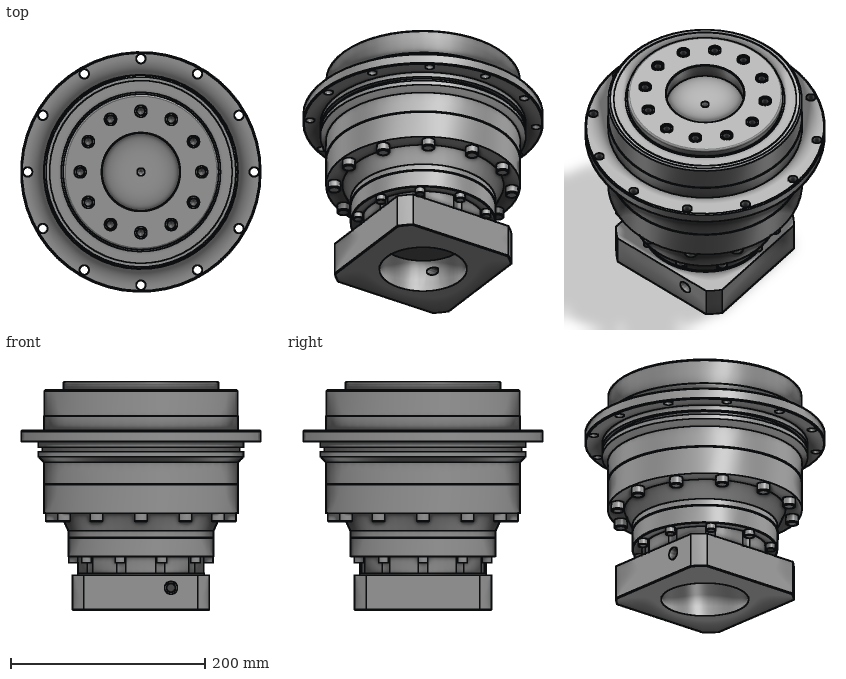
import cadquery as cq
import math


adapter_top = 36
neck_lip_top = 38
input_ring_bottom = 55
input_groove_level = 74.5
cone_bottom = 81.5
gear_ring_bottom = 99.7
gear_groove_level = 129.5
spigot_cone_bottom = 152
spigot_bottom = 158
seal_groove_bottom = 163
seal_groove_top = 167.5
flange_bottom = 173
flange_top = 185
cover_bottom = 200
housing_top = 227
output_top = 235

cover_radius = 99.7
body_radius = 100
flange_radius = 123.5
spigot_radius = 105.8
seal_groove_radius = 101.8
cone_top_radius = 83
input_radius = 74.8
neck_radius = 64.9
neck_lip_radius = 65.2
input_ring_chamfer = 0.7
joint_groove_depth = 0.5
joint_groove_width = 1.2
cover_joint_chamfer = 0.5
housing_chamfer = 2
flange_top_chamfer = 1.3
flange_bottom_chamfer = 1
cover_recess_radius = 94
cover_recess_depth = 0.5

bolt_count = 12
flange_hole_circle_radius = 116.5
flange_hole_diameter = 9.5

gear_screw_circle_radius = 91.5
gear_screw_diameter = 13
gear_screw_height = 8.8
gear_screw_chamfer = 1

input_screw_count = 10
input_screw_circle_radius = 69.3
input_screw_diameter = 10
input_screw_height = 6.5
input_screw_chamfer = 0.5
screw_clearance_radius = 6.7

output_radius = 80
output_collar_radius = 82
output_fillet = 1.9
output_seat_depth = 27
output_bore_radius = 40
output_bore_depth = 16
output_bore_chamfer = 0.7
output_hole_circle_radius = 62.5
output_hole_diameter = 8.5
output_hole_depth = 20
output_counterbore_diameter = 12.4
output_counterbore_depth = 1.2
drill_point_angle = 118
center_hole_diameter = 8
center_hole_angle = 60

adapter_width = 141
adapter_corner_radius = 91.7
adapter_chamfer = 0.8
adapter_bore_radius = 45
access_hole_x = 31
access_hole_z = 23
access_hole_diameter = 9
access_counterbore_diameter = 13.2
access_counterbore_depth = 15


def cylinder(radius, bottom, top):
    return cq.Workplane("XY").workplane(offset=bottom).circle(radius).extrude(top - bottom)


def ring_points(count, radius):
    """Points evenly spaced on a circle, the first one on +X."""
    step = 2 * math.pi / count
    return [(radius * math.cos(i * step), radius * math.sin(i * step)) for i in range(count)]


def screw_heads(points, diameter, top, height, chamfer):
    """Round heads hanging below the level `top`, chamfered at their free end."""
    heads = cq.Workplane("XY").workplane(offset=top).pushPoints(points).circle(diameter / 2)
    return heads.extrude(-height).faces("<Z").edges().chamfer(chamfer)


def joint_groove(radius, level):
    """Cutter for a shallow V-groove around a joint between two turned sections."""
    half_width = joint_groove_width / 2
    outline = [
        (radius, level - half_width),
        (radius, level + half_width),
        (radius - joint_groove_depth, level),
    ]
    return cq.Workplane("XZ").polyline(outline).close().revolve(360, (0, 0), (0, 1))


def turned_housing():
    outline = [
        (0, adapter_top),
        (neck_lip_radius, adapter_top),
        (neck_lip_radius, neck_lip_top),
        (neck_radius, neck_lip_top),
        (neck_radius, input_ring_bottom),
        (input_radius - input_ring_chamfer, input_ring_bottom),
        (input_radius, input_ring_bottom + input_ring_chamfer),
        (input_radius, cone_bottom),
        (cone_top_radius, gear_ring_bottom),
        (body_radius, gear_ring_bottom),
        (body_radius, spigot_cone_bottom),
        (spigot_radius, spigot_bottom),
        (spigot_radius, seal_groove_bottom),
        (seal_groove_radius, seal_groove_bottom),
        (seal_groove_radius, seal_groove_top),
        (spigot_radius, seal_groove_top),
        (spigot_radius, flange_bottom),
        (flange_radius - flange_bottom_chamfer, flange_bottom),
        (flange_radius, flange_bottom + flange_bottom_chamfer),
        (flange_radius, flange_top - flange_top_chamfer),
        (flange_radius - flange_top_chamfer, flange_top),
        (body_radius, flange_top),
        (body_radius, cover_bottom - cover_joint_chamfer),
        (body_radius - cover_joint_chamfer, cover_bottom),
        (cover_radius, cover_bottom),
        (cover_radius, housing_top - housing_chamfer),
        (cover_radius - housing_chamfer, housing_top),
        (cover_recess_radius, housing_top),
        (cover_recess_radius, housing_top - cover_recess_depth),
        (0, housing_top - cover_recess_depth),
    ]
    return cq.Workplane("XZ").polyline(outline).close().revolve(360, (0, 0), (0, 1))


def make_housing():
    body = turned_housing()
    body = body.cut(joint_groove(input_radius, input_groove_level))
    body = body.cut(joint_groove(body_radius, gear_groove_level))

    flange_holes = (
        cq.Workplane("XY")
        .workplane(offset=flange_bottom)
        .pushPoints(ring_points(bolt_count, flange_hole_circle_radius))
        .circle(flange_hole_diameter / 2)
        .extrude(flange_top - flange_bottom)
    )
    body = body.cut(flange_holes)

    input_points = ring_points(input_screw_count, input_screw_circle_radius)
    clearance_grooves = (
        cq.Workplane("XY")
        .workplane(offset=neck_lip_top)
        .pushPoints(input_points)
        .circle(screw_clearance_radius)
        .extrude(input_ring_bottom - neck_lip_top)
    )
    body = body.cut(clearance_grooves)

    gear_points = ring_points(bolt_count, gear_screw_circle_radius)
    gear_screws = screw_heads(
        gear_points, gear_screw_diameter, gear_ring_bottom, gear_screw_height, gear_screw_chamfer
    )
    input_screws = screw_heads(
        input_points, input_screw_diameter, input_ring_bottom, input_screw_height, input_screw_chamfer
    )
    body = body.union(gear_screws).union(input_screws)

    output_seat = cylinder(output_collar_radius, housing_top - output_seat_depth, housing_top)
    return body.cut(output_seat)


def drilled_hole_cutter():
    """Counterbored blind hole with a drill point, its mouth on the output face."""
    radius = output_hole_diameter / 2
    counterbore_radius = output_counterbore_diameter / 2
    point_length = radius / math.tan(math.radians(drill_point_angle / 2))
    counterbore_floor = output_top - output_counterbore_depth
    hole_bottom = output_top - output_hole_depth
    outline = [
        (0, output_top),
        (counterbore_radius, output_top),
        (counterbore_radius, counterbore_floor),
        (radius, counterbore_floor),
        (radius, hole_bottom),
        (0, hole_bottom - point_length),
    ]
    return cq.Workplane("XZ").polyline(outline).close().revolve(360, (0, 0), (0, 1))


def center_hole_cutter(mouth):
    """Conical centre hole with its mouth at the level `mouth`."""
    radius = center_hole_diameter / 2
    depth = radius / math.tan(math.radians(center_hole_angle / 2))
    outline = [(0, mouth), (radius, mouth), (0, mouth - depth)]
    return cq.Workplane("XZ").polyline(outline).close().revolve(360, (0, 0), (0, 1))


def make_output_flange():
    bore_floor = output_top - output_bore_depth
    collar_top = housing_top - cover_recess_depth
    disc_bottom = housing_top - output_seat_depth
    disc = cylinder(output_radius, disc_bottom, output_top)
    disc = disc.faces(">Z").edges().fillet(output_fillet)
    disc = disc.union(cylinder(output_collar_radius, disc_bottom, collar_top))

    bore = cylinder(output_bore_radius, bore_floor, output_top)
    disc = disc.cut(bore)
    disc = disc.faces(">Z").edges(cq.selectors.RadiusNthSelector(0)).chamfer(output_bore_chamfer)

    disc = disc.cut(center_hole_cutter(bore_floor))
    for x, y in ring_points(bolt_count, output_hole_circle_radius):
        disc = disc.cut(drilled_hole_cutter().translate((x, y, 0)))
    return disc


def make_motor_adapter():
    plate = cq.Workplane("XY").rect(adapter_width, adapter_width).extrude(adapter_top)
    plate = plate.intersect(cylinder(adapter_corner_radius, 0, adapter_top))
    plate = plate.faces("<Z").edges().chamfer(adapter_chamfer)
    plate = plate.cut(cylinder(adapter_bore_radius, 0, adapter_top))

    front_face = cq.Workplane("XZ", origin=(access_hole_x, -adapter_width / 2, access_hole_z))
    plate = plate.cut(front_face.circle(access_hole_diameter / 2).extrude(-adapter_width / 2))
    return plate.cut(front_face.circle(access_counterbore_diameter / 2).extrude(-access_counterbore_depth))


housing = make_housing()
output_flange = make_output_flange()
motor_adapter = make_motor_adapter()

result = cq.Compound.makeCompound([housing.val(), output_flange.val(), motor_adapter.val()])